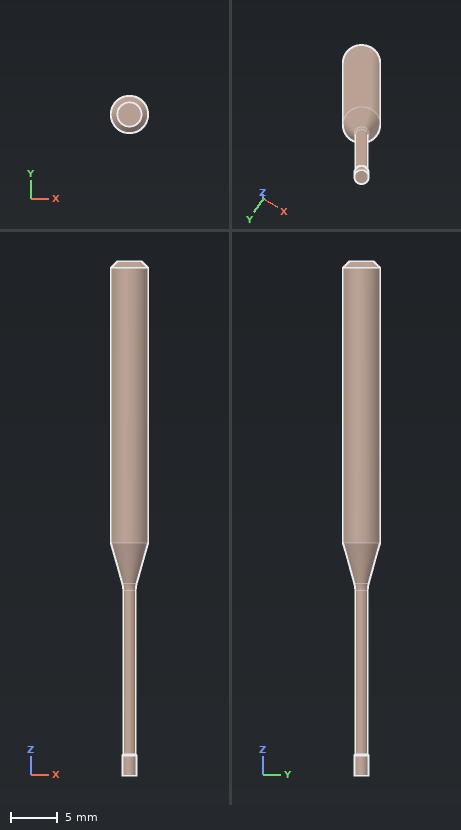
import cadquery as cq
import math

total_length = 55.0
shank_radius = 4.0 / 2
neck_radius = 1.4 / 2
cutter_radius = 0.75

cutter_length = 2.15
step_height = 0.15
blend_start = 19.85

shank_chamfer = 0.7
cone_half_angle = math.radians(15.8)
blend_radius = 2.75


def make_shank():
    """Chamfered shank whose cone runs through a tangent arc into the slim neck."""

    def blend_point(angle):
        return (
            neck_radius + blend_radius * (1 - math.cos(angle)),
            blend_start + blend_radius * math.sin(angle),
        )

    cone_start_radius, cone_start = blend_point(cone_half_angle)
    cone_end = cone_start + (shank_radius - cone_start_radius) / math.tan(cone_half_angle)

    return (
        cq.Workplane("XZ")
        .moveTo(0, cutter_length)
        .lineTo(cutter_radius, cutter_length)
        .lineTo(neck_radius, cutter_length + step_height)
        .lineTo(neck_radius, blend_start)
        .threePointArc(blend_point(cone_half_angle / 2), (cone_start_radius, cone_start))
        .lineTo(shank_radius, cone_end)
        .lineTo(shank_radius, total_length - shank_chamfer)
        .lineTo(shank_radius - shank_chamfer, total_length)
        .lineTo(0, total_length)
        .close()
        .revolve(360, (0, 0), (0, 1))
    )


def make_cutter():
    """Cylindrical cutting head."""
    return cq.Workplane("XY").circle(cutter_radius).extrude(cutter_length)


shank = make_shank()
cutter = make_cutter()

result = cq.Compound.makeCompound([shank.val(), cutter.val()])